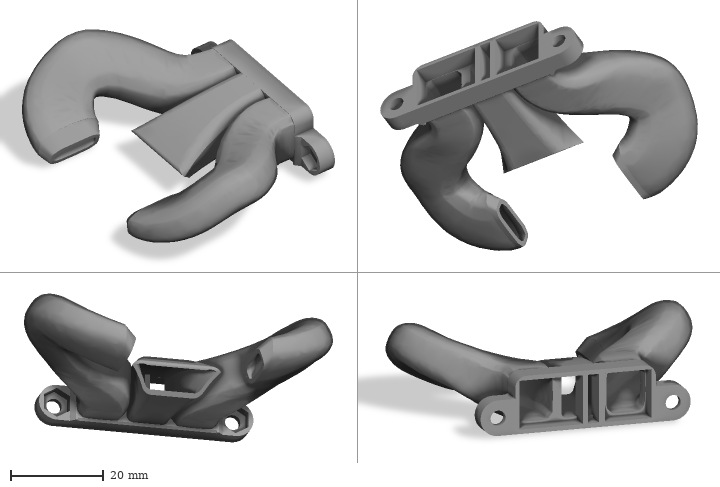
import cadquery as cq
import math

WALL = 1.0

BLOCK_WIDTH = 32.1
BLOCK_DEPTH = 5.1
BLOCK_HEIGHT = 12.95
BLOCK_CORNER = 2.55
BLOCK_FRONT_CHAMFER = 0.5
RIB_THICKNESS = 1.15
VANE_CENTRE_X = -3.75
VANE_THICKNESS = 1.3

LUG_RADIUS = 4.0
LUG_CENTRE_X = 20.0
LUG_DEPTH = 4.03
LUG_HOLE_DIAMETER = 3.4
LUG_GUSSET = BLOCK_DEPTH - LUG_DEPTH
NUT_ACROSS_FLATS = 5.8
NUT_POCKET_DEPTH = 2.5

ARM_ROOT_Y = -5.7
ARM_COLLAR = 1.1
ARM_STATIONS = [
    ((-5.1, ARM_ROOT_Y, 6.7), (-16.0, ARM_ROOT_Y, 6.7), 12.4, 4.5),
    ((-5.4, -11.4, 6.8), (-16.9, -10.0, 7.2), 12.2, 4.2),
    ((-7.8, -17.2, 6.4), (-20.0, -12.9, 8.5), 11.4, 3.6),
    ((-13.2, -23.2, 6.4), (-26.3, -17.7, 12.5), 10.2, 3.0),
    ((-18.2, -27.4, 7.6), (-31.9, -25.0, 15.0), 9.6, 2.8),
    ((-20.5, -31.4, 7.9), (-32.9, -33.0, 15.35), 9.4, 2.7),
    ((-19.4, -33.2, 6.5), (-30.8, -42.5, 10.8), 8.8, 2.7),
    ((-18.1, -33.9, 4.8), (-24.5, -48.2, 6.4), 8.0, 2.7),
    ((-16.4, -34.0, 3.4), (-16.4, -49.9, 3.7), 7.4, 2.7),
]
SECTIONS_PER_STATION = 2
SECTION_POINTS = 16

TIP_INNER = (-14.3, -35.4, 1.9)
TIP_OUTER = (-14.3, -48.4, 1.9)
TIP_THICKNESS = 5.3
TIP_SQUARENESS = 3.5
TIP_LEAN = math.radians(18)

END_MATCH = 0.01

NOZZLE_STATIONS = [
    (-4.0, 4.6, 5.1, 3.0, 0.6, 11.0, 12.93),
    (-13.0, 4.8, 5.8, 3.2, 0.3, 10.0, 12.2),
    (-22.0, 5.6, 7.3, 4.6, -0.3, 7.6, 9.6),
    (-31.5, 7.6, 10.6, 7.6, -1.1, 3.6, 4.6),
]
SHOULDER_BULGE = 0.35
FLOOR_CORNER = 1.5
LIP_ROUNDING = 0.7
MOUTH_LOWER = (-25.6, -0.6)
MOUTH_UPPER = (-30.7, 5.1)
MOUTH_CUT_REACH = 3.0


def signed_power(value, exponent):
    return math.copysign(abs(value) ** exponent, value)


def section_wire(centre, along, normal, width, thickness, squareness):
    """Closed superellipse with its width in direction `along`."""
    across = normal.cross(along)
    points = []
    for i in range(SECTION_POINTS):
        angle = 2 * math.pi * (i + 0.5) / SECTION_POINTS
        u = width / 2 * signed_power(math.cos(angle), 2 / squareness)
        v = thickness / 2 * signed_power(math.sin(angle), 2 / squareness)
        points.append(centre + along * u + across * v)
    steps = list(range(SECTION_POINTS + 1))
    return cq.Wire.assembleEdges([cq.Edge.makeSpline(points, periodic=True, parameters=steps)])


def curve_samples(points):
    """Evenly parametrised samples of a smooth curve through the points."""
    spans = len(points) - 1
    curve = cq.Edge.makeSpline(points, parameters=list(range(spans + 1)))
    count = spans * SECTIONS_PER_STATION
    return [curve.positionAt(i / SECTIONS_PER_STATION, mode="parameter") for i in range(count + 1)]


def arm_wires(inset):
    """Sections along the arm, shrunk all round by `inset`."""
    leaving = cq.Vector(0, -1, 0)
    arriving = cq.Vector(1, 0, 0)
    inners = curve_samples([cq.Vector(*s[0]) for s in ARM_STATIONS])
    outers = curve_samples([cq.Vector(*s[1]) for s in ARM_STATIONS])
    shapes = curve_samples([cq.Vector(s[2], s[3], 0) for s in ARM_STATIONS])
    centres = [(a + b) * 0.5 for a, b in zip(inners, outers)]
    travels = [leaving]
    travels += [after - before for before, after in zip(centres, centres[2:])]
    travels += [arriving]
    wires = []
    for inner, outer, centre, travel, shape in zip(inners, outers, centres, travels, shapes):
        span = outer - inner
        along = span.normalized()
        normal = (travel - along * travel.dot(along)).normalized()
        wires.append(
            section_wire(
                centre, along, normal, span.Length - 2 * inset, shape.x - 2 * inset, shape.y
            )
        )
    return wires


def loft_sides(wires, ruled):
    """Faces of a loft without its first and last end faces."""
    faces = cq.Solid.makeLoft(wires, ruled).Faces()
    ends = [cq.Face.makeFromWires(w).Center() for w in (wires[0], wires[-1])]
    return [f for f in faces if min((f.Center() - e).Length for e in ends) > END_MATCH]


def mouth_wire(inset):
    """Outlet section at the arm tip, shrunk all round by `inset`."""
    inner = cq.Vector(*TIP_INNER)
    outer = cq.Vector(*TIP_OUTER)
    span = outer - inner
    facing = cq.Vector(math.cos(TIP_LEAN), 0, -math.sin(TIP_LEAN))
    return section_wire(
        (inner + outer) * 0.5, span.normalized(), facing,
        span.Length - 2 * inset, TIP_THICKNESS - 2 * inset, TIP_SQUARENESS,
    )


def arm_surface(inset):
    """Side faces of collar, curling arm and tapered tip, and the two end wires."""
    curl = arm_wires(inset)
    start = curl[0].translate(cq.Vector(0, ARM_COLLAR, 0))
    mouth = mouth_wire(inset)
    faces = loft_sides([start, curl[0]], True)
    faces += loft_sides(curl, False)
    faces += loft_sides([curl[-1], mouth], True)
    return faces, start, mouth


def arm():
    """Hollow arm, open at both ends, sewn from its outer and inner surfaces."""
    outer_faces, outer_start, outer_mouth = arm_surface(0)
    inner_faces, inner_start, inner_mouth = arm_surface(WALL)
    rims = [
        cq.Face.makeFromWires(outer_start, [inner_start]),
        cq.Face.makeFromWires(outer_mouth, [inner_mouth]),
    ]
    shell = cq.Shell.makeShell(outer_faces + inner_faces + rims)
    return cq.Workplane(cq.Solid.makeSolid(shell))


def arm_inlet():
    """Opening through the front wall of the block into the arm."""
    start = arm_wires(WALL)[0].translate(cq.Vector(0, 2 * ARM_COLLAR, 0))
    return cq.Workplane(cq.Solid.extrudeLinear(start, [], cq.Vector(0, -ARM_COLLAR - WALL, 0)))


def nozzle_wire(station, inset):
    """Symmetric section, widest at the waist, with rounded shoulders and floor corners."""
    y, floor_half, waist_half, roof_half, floor_z, waist_z, roof_z = station
    floor = (floor_half - inset / 2, floor_z + inset)
    waist = (waist_half - inset, waist_z)
    roof = (roof_half - inset / 2, roof_z - inset)
    rise = math.hypot(waist[0] - floor[0], waist[1] - floor[1])
    corner = FLOOR_CORNER - inset / 2
    floor_flat = floor[0] - corner
    side_start = (
        floor[0] + corner * (waist[0] - floor[0]) / rise,
        floor[1] + corner * (waist[1] - floor[1]) / rise,
    )
    shoulder = (
        (waist[0] + roof[0]) / 2 + SHOULDER_BULGE,
        (waist[1] + roof[1]) / 2 + SHOULDER_BULGE,
    )
    return (
        cq.Workplane("XZ", origin=(0, y, 0))
        .moveTo(-floor_flat, floor[1])
        .lineTo(floor_flat, floor[1])
        .tangentArcPoint(side_start, relative=False)
        .lineTo(*waist)
        .threePointArc(shoulder, roof)
        .lineTo(-roof[0], roof[1])
        .threePointArc((-shoulder[0], shoulder[1]), (-waist[0], waist[1]))
        .lineTo(-side_start[0], side_start[1])
        .tangentArcPoint((-floor_flat, floor[1]), relative=False)
        .close()
        .val()
    )


def nozzle_body(inset):
    wires = [nozzle_wire(s, inset) for s in NOZZLE_STATIONS]
    return cq.Workplane(cq.Solid.makeLoft(wires))


def mouth_cutter():
    """Everything in front of the sloping mouth of the nozzle."""
    slope = (MOUTH_UPPER[0] - MOUTH_LOWER[0]) / (MOUTH_UPPER[1] - MOUTH_LOWER[1])
    low = (MOUTH_LOWER[0] - slope * MOUTH_CUT_REACH, MOUTH_LOWER[1] - MOUTH_CUT_REACH)
    high = (MOUTH_UPPER[0] + slope * MOUTH_CUT_REACH, MOUTH_UPPER[1] + MOUTH_CUT_REACH)
    return (
        cq.Workplane("YZ")
        .polyline([low, high, (high[0], low[1])])
        .close()
        .extrude(BLOCK_WIDTH / 2, both=True)
    )


def nozzle_shape():
    """Solid outer form of the nozzle with a rounded upper lip."""
    slope_angle = math.atan2(MOUTH_UPPER[1] - MOUTH_LOWER[1], MOUTH_LOWER[0] - MOUTH_UPPER[0])
    facing = cq.Vector(0, -math.sin(slope_angle), -math.cos(slope_angle))
    body = nozzle_body(0).cut(mouth_cutter())
    return body.faces(cq.ParallelDirSelector(facing)).edges(">Z").fillet(LIP_ROUNDING)


def slab(width, depth, height, x=0.0, z=0.0):
    """Box whose back is on y = 0 and whose floor is at `z`."""
    box = cq.Workplane("XY").box(width, depth, height, (True, True, False))
    return box.translate((x, -depth / 2, z))


def inlet_block():
    block = slab(BLOCK_WIDTH, BLOCK_DEPTH, BLOCK_HEIGHT)
    block = block.edges("|Y and >Z").fillet(BLOCK_CORNER)
    return block.edges("<Y and <Z").chamfer(BLOCK_FRONT_CHAMFER)


def lug():
    """Lug on the +x side, merging into the block wall."""
    wall_x = BLOCK_WIDTH / 2
    arm_length = LUG_CENTRE_X - wall_x + WALL / 2
    body = slab(arm_length, LUG_DEPTH, 2 * LUG_RADIUS, LUG_CENTRE_X - arm_length / 2)
    front = cq.Workplane("XZ", origin=(LUG_CENTRE_X, 0, LUG_RADIUS))
    body = body.union(front.circle(LUG_RADIUS).extrude(LUG_DEPTH))
    gusset = (
        cq.Workplane("XY")
        .polyline([
            (wall_x - WALL / 2, -LUG_DEPTH),
            (wall_x + LUG_GUSSET, -LUG_DEPTH),
            (wall_x, -LUG_DEPTH - LUG_GUSSET),
            (wall_x - WALL / 2, -LUG_DEPTH - LUG_GUSSET),
        ])
        .close()
        .extrude(2 * LUG_RADIUS)
    )
    hole = front.circle(LUG_HOLE_DIAMETER / 2).extrude(LUG_DEPTH)
    corner_diameter = NUT_ACROSS_FLATS / math.cos(math.pi / 6)
    pocket = (
        cq.Workplane("XZ", origin=(LUG_CENTRE_X, NUT_POCKET_DEPTH - LUG_DEPTH, LUG_RADIUS))
        .transformed(rotate=(0, 0, 30))
        .polygon(6, corner_diameter)
        .extrude(NUT_POCKET_DEPTH)
    )
    return body.union(gusset).cut(hole).cut(pocket)


def both_sides(shape):
    return shape.union(shape.mirror("YZ"))


core = inlet_block().union(nozzle_shape())
cavity = slab(BLOCK_WIDTH - 2 * WALL, BLOCK_DEPTH - WALL, BLOCK_HEIGHT - 2 * WALL, z=WALL)
core = core.cut(cavity).cut(both_sides(arm_inlet())).cut(nozzle_body(WALL))

inner_height = BLOCK_HEIGHT - WALL
rib = slab(RIB_THICKNESS, BLOCK_DEPTH, inner_height, z=WALL / 2)
vane = slab(VANE_THICKNESS, BLOCK_DEPTH, inner_height, x=VANE_CENTRE_X, z=WALL / 2)
core = core.union(rib).union(vane).union(both_sides(lug()))

side_arm = arm()
result = core.union(side_arm).union(side_arm.mirror("YZ"))